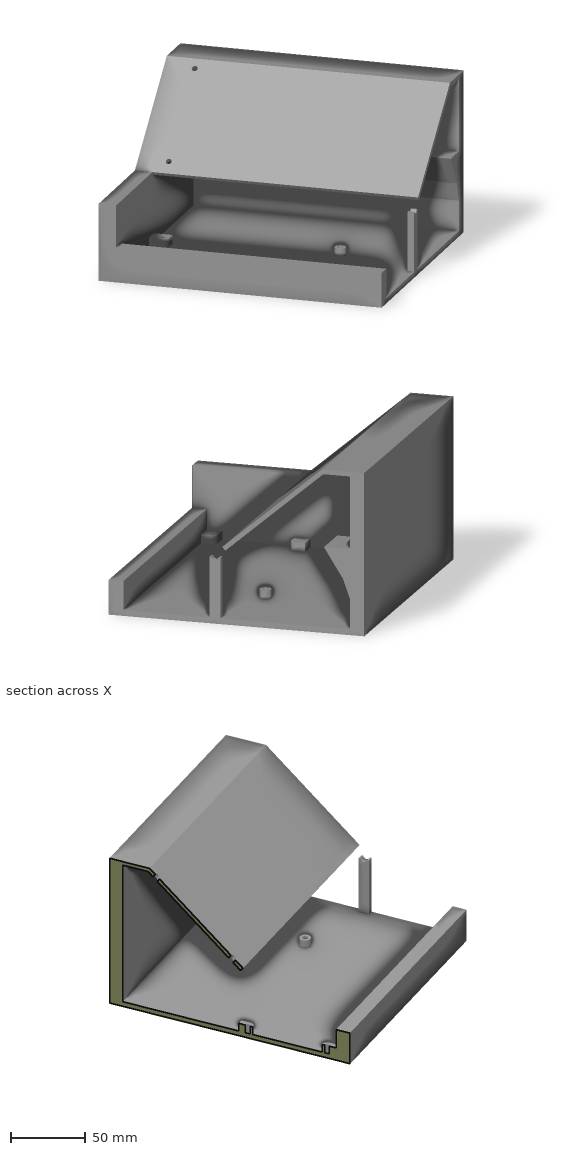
import cadquery as cq
import math

length = 200.0
depth = 180.0
height = 114.0
side_height = 54.0
slope_start_y = 80.0
slope_end_y = 150.0

side_wall = 12.5
front_wall = 10.5
back_wall = 10.0
floor_thickness = 4.0
panel_thickness = 3.2
lip_height = 24.5

lug_hole_x = 21.5
lug_hole_diameter = 3.2
lug_radius = 4.0
lug_fillet = 3.8
lug_height = 6.0
lug_hole_ys = (17.2, 76.5)
lug_end_reach = lug_hole_ys[0] - front_wall

panel_hole_diameter = 4.0
panel_hole_x = lug_hole_x
lower_hole_margin = 9.5
upper_hole_margin = 7.8

standoff_x = 141.2
standoff_y = 92.0
standoff_diameter = 8.0
standoff_hole_diameter = 4.0
standoff_height = 6.0

post_width = 4.5
post_front_y = 71.0
post_depth = 7.5
post_top = 46.5
saddle_radius = 2.5
saddle_depth = 2.0

overhang_x = 170.0
overhang_bottom = 25.2
overhang_knee = 39.0
overhang_top = 60.0
lower_lean = math.radians(20)
upper_lean = math.radians(32.5)

slope_rise = height - side_height
slope_run = slope_end_y - slope_start_y
slope_length = math.hypot(slope_run, slope_rise)
slope_cos = slope_run / slope_length
slope_sin = slope_rise / slope_length


def extrude_profile(points, start_x, end_x):
    """Extrude a (Y, Z) outline along X."""
    return cq.Workplane("YZ").workplane(offset=start_x).polyline(points).close().extrude(end_x - start_x)


def block(x0, x1, y0, y1, z0, z1):
    return cq.Workplane("XY").box(x1 - x0, y1 - y0, z1 - z0, centered=False).translate((x0, y0, z0))


def make_shell():
    outline = [
        (0, 0), (depth, 0), (depth, height), (slope_end_y, height),
        (slope_start_y, side_height), (0, side_height),
    ]
    edge_y = slope_start_y + panel_thickness * slope_sin
    edge_z = side_height - panel_thickness * slope_cos
    ceiling_z = height - panel_thickness
    ceiling_y = edge_y + (ceiling_z - edge_z) * slope_run / slope_rise
    cavity = [
        (front_wall, floor_thickness), (depth - back_wall, floor_thickness),
        (depth - back_wall, ceiling_z), (ceiling_y, ceiling_z), (edge_y, edge_z),
        (slope_start_y, side_height), (front_wall, side_height),
    ]
    shell = extrude_profile(outline, 0, length)
    shell = shell.cut(extrude_profile(cavity, side_wall, length))
    return shell.cut(block(side_wall, length, 0, front_wall, lip_height, side_height))


def make_lug(hole_y, end_y):
    """Lug reaching from the side wall, rounded at the corner away from end_y."""
    round_y = hole_y + math.copysign(lug_radius, hole_y - end_y)
    y0, y1 = sorted((round_y, end_y))
    lug = block(side_wall, lug_hole_x + lug_radius, y0, y1, floor_thickness, floor_thickness + lug_height)
    corner = ">X and >Y" if hole_y > end_y else ">X and <Y"
    lug = lug.edges("|Z").edges(corner).fillet(lug_fillet)
    hole = cq.Workplane("XY").workplane(offset=floor_thickness).center(lug_hole_x, hole_y)
    return lug.cut(hole.circle(lug_hole_diameter / 2).extrude(lug_height))


def make_standoff():
    base = cq.Workplane("XY").workplane(offset=floor_thickness).center(standoff_x, standoff_y)
    ring = base.circle(standoff_diameter / 2).circle(standoff_hole_diameter / 2)
    return ring.extrude(standoff_height)


def make_post():
    post = block(length - post_width, length, post_front_y, post_front_y + post_depth, floor_thickness, post_top)
    saddle = cq.Workplane("YZ").workplane(offset=length - post_width)
    saddle = saddle.center(post_front_y + post_depth / 2, post_top + saddle_radius - saddle_depth)
    return post.cut(saddle.circle(saddle_radius).extrude(post_width))


def make_overhang():
    wall_y = depth - back_wall
    knee_y = wall_y - (overhang_knee - overhang_bottom) * math.tan(lower_lean)
    nose_y = knee_y - (overhang_top - overhang_knee) * math.tan(upper_lean)
    profile = [
        (depth, overhang_bottom), (wall_y, overhang_bottom), (knee_y, overhang_knee),
        (nose_y, overhang_top), (depth, overhang_top),
    ]
    return extrude_profile(profile, overhang_x, length)


def panel_hole(distance):
    """Cutter square to the sloped panel, at a distance up the slope."""
    start = cq.Vector(
        panel_hole_x, slope_start_y + distance * slope_cos, side_height + distance * slope_sin
    )
    inward = cq.Vector(0, slope_sin, -slope_cos)
    return cq.Workplane(cq.Solid.makeCylinder(panel_hole_diameter / 2, panel_thickness * 2, start, inward))


result = make_shell()
front_lug_y, rear_lug_y = lug_hole_ys
result = result.union(make_lug(front_lug_y, front_lug_y - lug_end_reach))
result = result.union(make_lug(rear_lug_y, rear_lug_y + lug_end_reach))
result = result.union(make_standoff())
result = result.union(make_post())
result = result.union(make_overhang())
for hole_distance in (lower_hole_margin, slope_length - upper_hole_margin):
    result = result.cut(panel_hole(hole_distance))